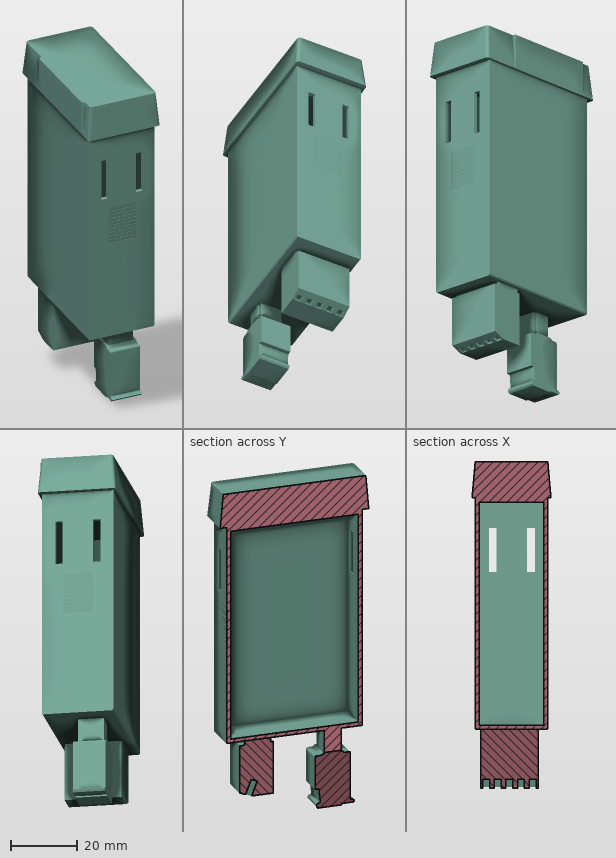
import cadquery as cq
import math


bezel_width = 48.0
bezel_depth = 24.0
bezel_height = 11.0
bezel_draft = 5.0
bezel_corner_radius = 1.0

panel_left = -11.3
panel_right = 19.0
panel_flare = 0.5
seam_radius = 0.5

housing_width = 43.8
housing_depth = 22.0
housing_length = 70.0
wall = 1.4
rear_edge_chamfer = 0.4

slot_height = 13.4
slot_top = -9.0
slot_spans = [(-6.8, -4.6), (4.7, 7.05)]

tooth_count = 10
tooth_pitch = 1.22
tooth_angle = 5.0
grip_width = 9.0
grip_centre_y = 0.2
grip_top = -25.8

header_left = 9.45
header_right = 15.2
header_key_width = 1.0
header_key_inset = 0.5
header_length = 7.2
header_inset = 1.0

wide_plug_left = -17.7
wide_plug_right = -6.8
wide_plug_front = -9.4
wide_plug_back = 8.15
wide_plug_end = -88.1
neck_left = -16.05
neck_right = -7.55
neck_height = 1.2
slope_width = 3.8
slope_height = 1.5
way_count = 5
way_pitch = 3.5
way_size = 1.95
way_depth = 5.0

narrow_plug_left = 6.55
narrow_plug_right = 18.1
narrow_plug_front = -2.1
narrow_plug_back = 7.85
overall_height = 105.9
narrow_plug_end = bezel_height - overall_height
peak_height = 0.6
peak_flare = 0.75
shoulder_radius = 0.6
recess_start = -88.7
recess_top_x = 7.8
recess_bottom_x = 8.25
foot_top = -93.1
foot_left = 7.15
foot_right = 15.25
foot_chamfer = 0.5
lip_bottom = -94.45
lip_right = 19.45
lip_half_height = 0.6
lip_point = 0.85


def box(x_span, y_span, z_span):
    """Box between the given limits."""
    return (
        cq.Workplane("XY", origin=(0, 0, z_span[0]))
        .moveTo(x_span[0], y_span[0])
        .lineTo(x_span[1], y_span[0])
        .lineTo(x_span[1], y_span[1])
        .lineTo(x_span[0], y_span[1])
        .close()
        .extrude(z_span[1] - z_span[0])
    )


def make_bezel():
    frame = (
        cq.Workplane("XY")
        .rect(bezel_width, bezel_depth)
        .extrude(bezel_height, taper=bezel_draft)
        .edges("not #Z")
        .fillet(bezel_corner_radius)
    )
    front = -bezel_depth / 2
    top_setback = bezel_height * math.tan(math.radians(bezel_draft))
    panel = (
        cq.Workplane("XY")
        .moveTo(panel_left, front)
        .lineTo(panel_right, front)
        .lineTo(panel_right + panel_flare, front + top_setback)
        .lineTo(panel_left - panel_flare, front + top_setback)
        .close()
        .extrude(bezel_height)
    )
    bezel = frame.union(panel)
    seams = (
        bezel.edges(
            cq.selectors.BoxSelector(
                (panel_left - 2 * panel_flare, front, 0),
                (panel_right + 2 * panel_flare, front + top_setback, bezel_height),
            )
        )
        .edges("not (|Z or #Z)")
    )
    return seams.fillet(seam_radius)


def make_grip_groove(side, tooth):
    """Wedge under one tooth: flush at its upper edge and sunk into the wall at its lower edge."""
    face = side * housing_width / 2
    root = face - side * tooth_pitch * math.tan(math.radians(tooth_angle))
    tooth_start = grip_top - tooth * tooth_pitch
    tooth_end = tooth_start - tooth_pitch
    return (
        cq.Workplane("XZ", origin=(0, grip_centre_y + grip_width / 2, 0))
        .moveTo(face, tooth_start)
        .lineTo(root, tooth_end)
        .lineTo(face, tooth_end)
        .close()
        .extrude(grip_width)
    )


def make_header():
    front = narrow_plug_front + header_inset
    back = narrow_plug_back - header_inset
    z_span = (-housing_length - header_length, -housing_length)
    key_right = header_left + header_key_width
    main = box((key_right, header_right), (front, back), z_span)
    key = box((header_left, key_right), (front + header_key_inset, back - header_key_inset), z_span)
    return main.union(key)


def make_housing():
    body = (
        box(
            (-housing_width / 2, housing_width / 2),
            (-housing_depth / 2, housing_depth / 2),
            (-housing_length, 0),
        )
        .edges("<Z and |X")
        .chamfer(rear_edge_chamfer)
    )
    cavity = box(
        (wall - housing_width / 2, housing_width / 2 - wall),
        (wall - housing_depth / 2, housing_depth / 2 - wall),
        (wall - housing_length, -wall),
    )
    body = body.union(make_bezel()).cut(cavity)
    for slot_span in slot_spans:
        slot = box((-housing_width, housing_width), slot_span, (slot_top - slot_height, slot_top))
        body = body.cut(slot)
    for side in (-1, 1):
        for tooth in range(tooth_count):
            body = body.cut(make_grip_groove(side, tooth))
    return body.union(make_header())


def make_wide_plug():
    top = -housing_length
    shoulder = top - neck_height
    plug = (
        cq.Workplane("XZ", origin=(0, wide_plug_back, 0))
        .moveTo(neck_left, top)
        .lineTo(neck_right, top)
        .lineTo(neck_right, shoulder)
        .lineTo(wide_plug_right, shoulder)
        .lineTo(wide_plug_right, wide_plug_end)
        .lineTo(wide_plug_left + slope_width, wide_plug_end)
        .lineTo(wide_plug_left, wide_plug_end + slope_height)
        .lineTo(wide_plug_left, shoulder)
        .lineTo(neck_left, shoulder)
        .close()
        .extrude(wide_plug_back - wide_plug_front)
    )
    entry_position = 1 - way_size / 2 / math.hypot(slope_width, slope_height)
    slope_plane = cq.Plane(
        origin=(
            wide_plug_left + slope_width * entry_position,
            (wide_plug_front + wide_plug_back) / 2,
            wide_plug_end + slope_height * (1 - entry_position),
        ),
        xDir=(0, 1, 0),
        normal=(slope_height, 0, slope_width),
    )
    entries = (
        cq.Workplane(slope_plane)
        .rarray(way_pitch, 1, way_count, 1)
        .rect(way_size, way_size)
        .extrude(way_depth)
    )
    return plug.cut(entries)


def make_narrow_plug():
    peak_top = -housing_length - header_length
    shoulder = peak_top - peak_height
    lip_middle = lip_bottom + lip_half_height
    lip_top = lip_middle + lip_half_height
    return (
        cq.Workplane("XZ", origin=(0, narrow_plug_back, 0))
        .moveTo(header_left, peak_top)
        .lineTo(header_right, peak_top)
        .lineTo(header_right + peak_flare, shoulder)
        .lineTo(narrow_plug_right - shoulder_radius, shoulder)
        .radiusArc((narrow_plug_right, shoulder - shoulder_radius), shoulder_radius)
        .lineTo(narrow_plug_right, lip_top)
        .lineTo(lip_right - lip_point, lip_top)
        .lineTo(lip_right, lip_middle)
        .lineTo(lip_right - lip_point / 2, lip_bottom)
        .lineTo(foot_right, lip_bottom)
        .lineTo(foot_right, narrow_plug_end)
        .lineTo(foot_left + foot_chamfer, narrow_plug_end)
        .lineTo(foot_left, narrow_plug_end + foot_chamfer)
        .lineTo(foot_left, foot_top - foot_chamfer)
        .lineTo(foot_left + foot_chamfer, foot_top)
        .lineTo(recess_bottom_x, foot_top)
        .lineTo(recess_top_x, recess_start)
        .lineTo(narrow_plug_left, recess_start)
        .lineTo(narrow_plug_left, shoulder - shoulder_radius)
        .radiusArc((narrow_plug_left + shoulder_radius, shoulder), shoulder_radius)
        .lineTo(header_left - peak_flare, shoulder)
        .close()
        .extrude(narrow_plug_back - narrow_plug_front)
    )


housing = make_housing()
wide_plug = make_wide_plug()
narrow_plug = make_narrow_plug()

result = cq.Compound.makeCompound([housing.val(), wide_plug.val(), narrow_plug.val()])